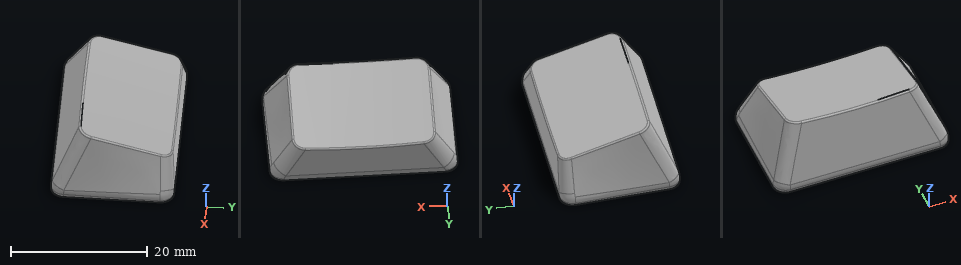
import cadquery as cq
import math

LENGTH = 27.69
WIDTH = 18.16
CREASE_HEIGHT = 0.99

RIM_LENGTH = 20.9
RIM_FRONT_Y = -5.1
RIM_FRONT_Z = 9.95
RIM_BACK_Y = 8.6
RIM_BACK_Z = 6.05
WALL_OVERRUN = 1.1

TROUGH_RADIUS = 130.0
CUTTER_REACH = 3 * WIDTH

WALL_RADIUS = 2.0
RIM_RADIUS = 0.3


def overrun(foot, rim):
    """Carry a wall line from its foot past the rim."""
    return foot + WALL_OVERRUN * (rim - foot)


def rectangle_wire(length, front_y, front_z, back_y, back_z):
    """Rectangle centred on X whose front and back edges may differ in height."""
    corners = [
        cq.Vector(-length / 2, front_y, front_z),
        cq.Vector(length / 2, front_y, front_z),
        cq.Vector(length / 2, back_y, back_z),
        cq.Vector(-length / 2, back_y, back_z),
    ]
    return cq.Wire.makePolygon(corners, close=True)


def leaning_walls():
    """Walls ruled from the level crease to a sloping top above the rim."""
    foot = rectangle_wire(LENGTH, -WIDTH / 2, CREASE_HEIGHT, WIDTH / 2, CREASE_HEIGHT)
    top = rectangle_wire(
        overrun(LENGTH, RIM_LENGTH),
        overrun(-WIDTH / 2, RIM_FRONT_Y),
        overrun(CREASE_HEIGHT, RIM_FRONT_Z),
        overrun(WIDTH / 2, RIM_BACK_Y),
        overrun(CREASE_HEIGHT, RIM_BACK_Z),
    )
    return cq.Workplane(cq.Solid.makeLoft([foot, top], True))


def rounded_blank():
    """Skirt and walls with the corners and the crease rounded together."""
    skirt = cq.Workplane("XY").rect(LENGTH, WIDTH).extrude(CREASE_HEIGHT)
    blank = skirt.union(leaning_walls())
    bottom_edges = blank.faces("<Z").edges()
    top_edges = blank.faces(">Z").edges()
    corner_and_crease_edges = blank.edges().filter(
        lambda edge: not any(edge.isSame(kept) for kept in bottom_edges.vals() + top_edges.vals())
    )
    return blank.newObject(corner_and_crease_edges.vals()).fillet(WALL_RADIUS)


def trough_cutter():
    """Long cylinder that touches the rim corners and dips between them."""
    slope = math.degrees(math.atan2(RIM_FRONT_Z - RIM_BACK_Z, RIM_BACK_Y - RIM_FRONT_Y))
    axis_height = math.sqrt(TROUGH_RADIUS**2 - (RIM_LENGTH / 2) ** 2)
    return (
        cq.Workplane("XZ")
        .center(0, axis_height)
        .circle(TROUGH_RADIUS)
        .extrude(CUTTER_REACH, both=True)
        .rotate((0, 0, 0), (1, 0, 0), -slope)
        .translate((0, RIM_FRONT_Y, RIM_FRONT_Z))
    )


cap = rounded_blank().cut(trough_cutter())
result = cap.faces(">Z").edges().fillet(RIM_RADIUS)